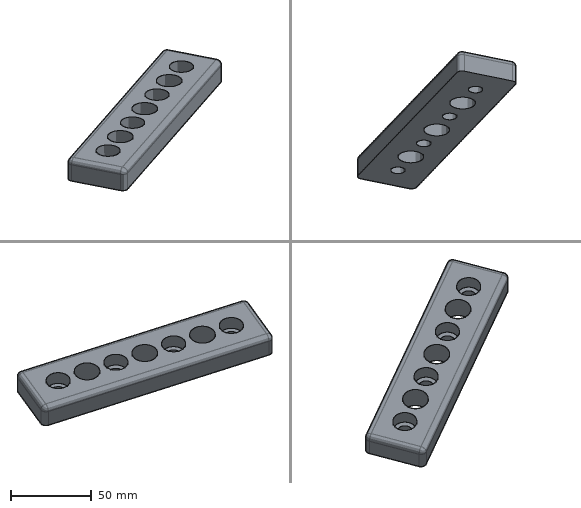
import cadquery as cq

length = 160.0
width = 40.0
height = 15.0
edge_radius = 3.5

hole_pitch = length / 8
plain_diameter = 16.0
screw_diameter = 9.0
counterbore_diameter = 15.0
counterbore_depth = 9.0

plain_positions = [(0, i * hole_pitch) for i in (-2, 0, 2)]
screw_positions = [(0, i * hole_pitch) for i in (-3, -1, 1, 3)]


def rounded_bar():
    """Block resting on Z = 0, rounded on its upright and top edges."""
    block = cq.Workplane("XY").box(width, length, height, centered=(True, True, False))
    return block.edges("|Z or >Z").fillet(edge_radius)


def add_plain_holes(bar):
    top = bar.faces(">Z").workplane(origin=(0, 0, height))
    return top.pushPoints(plain_positions).hole(plain_diameter)


def add_screw_holes(bar):
    """Through holes counterbored from the top face."""
    top = bar.faces(">Z").workplane(origin=(0, 0, height))
    return top.pushPoints(screw_positions).cboreHole(
        screw_diameter, counterbore_diameter, counterbore_depth
    )


result = add_screw_holes(add_plain_holes(rounded_bar()))